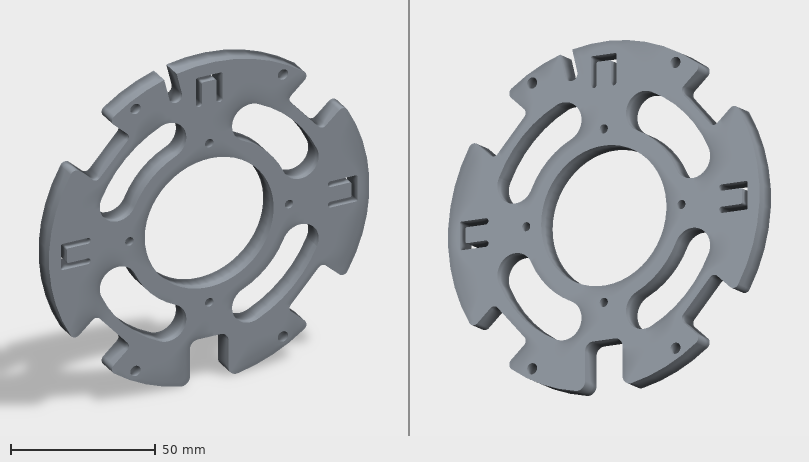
import cadquery as cq
import math

thickness = 8.0
outer_radius = 62.2
bore_radius = 25.0

inner_hole_diameter = 3.2
inner_hole_pitch_radius = 31.0
rim_hole_diameter = 4.0
rim_hole_side_offset = 28.6
rim_hole_height = 51.0

window_mid_radius = 38.8
window_width = 14.2
window_half_angle = 20.7

notch_angle = 42.0
notch_width = 20.0
notch_floor_radius = 49.9
notch_floor_fillet = 2.0
notch_mouth_fillet = 2.1

bottom_notch_width = 15.0
bottom_notch_floor_radius = 44.5
bottom_notch_fillet = 3.1

cable_slot_angle = 76.0
cable_slot_width = 5.0
cable_slot_end_radius = 53.8

tongue_cut_outer_radius = 57.5
tongue_cut_inner_radius = 46.1
tongue_cut_outer_width = 10.2
tongue_cut_gap = 2.2
tongue_corner_fillet = 0.6

rim_clearance = 12.5
pick_reach = 1.2

face_plane = cq.Plane(origin=(thickness / 2, 0, 0), xDir=(0, -1, 0), normal=(-1, 0, 0))


def sketch():
    return cq.Workplane(face_plane)


def turned(body, angle):
    """Turn a cutter about the disc axis, from sketch x towards sketch y."""
    return body.rotate((0, 0, 0), (-1, 0, 0), angle)


def polar(radius, angle):
    return (radius * math.cos(math.radians(angle)), radius * math.sin(math.radians(angle)))


def round_corners(body, corners, radius):
    """Round the through-thickness edges standing at the given sketch points."""
    for x, y in corners:
        low = (-thickness, -x - pick_reach, y - pick_reach)
        high = (thickness, -x + pick_reach, y + pick_reach)
        body = body.edges("|X").edges(cq.selectors.BoxSelector(low, high)).fillet(radius)
    return body


def notch_cutter(width, floor_radius):
    """A rectangular rim notch pointing along sketch x, with square corners."""
    depth = outer_radius + rim_clearance - floor_radius
    return sketch().center(floor_radius + depth / 2, 0).rect(depth, width).extrude(thickness)


def notch_corners(width, corner_radius, angle):
    """The two sketch points where the notch sides cross a circle of the given radius."""
    half_angle = math.degrees(math.asin(width / 2 / corner_radius))
    return [polar(corner_radius, angle + side * half_angle) for side in (-1, 1)]


def cut_notch(body, angle, width, floor_radius, floor_fillet, mouth_fillet):
    body = body.cut(turned(notch_cutter(width, floor_radius), angle))
    floor_corner_radius = math.hypot(floor_radius, width / 2)
    body = round_corners(body, notch_corners(width, floor_corner_radius, angle), floor_fillet)
    return round_corners(body, notch_corners(width, outer_radius, angle), mouth_fillet)


def window_cutter():
    """A curved slot with semicircular ends, concentric with the disc and centred on sketch x."""
    inner = window_mid_radius - window_width / 2
    outer = window_mid_radius + window_width / 2
    end_x, end_y = polar(window_mid_radius, window_half_angle)
    bulge_x, bulge_y = polar(window_width / 2, window_half_angle + 90)
    tip_x = end_x + bulge_x
    tip_y = end_y + bulge_y
    return (
        sketch()
        .moveTo(*polar(outer, -window_half_angle))
        .threePointArc((outer, 0), polar(outer, window_half_angle))
        .threePointArc((tip_x, tip_y), polar(inner, window_half_angle))
        .threePointArc((inner, 0), polar(inner, -window_half_angle))
        .threePointArc((tip_x, -tip_y), polar(outer, -window_half_angle))
        .close()
        .extrude(thickness)
    )


def tongue_cutter():
    """A U-shaped cut with its closed end towards the rim, pointing along sketch x."""
    arm_offset = (tongue_cut_outer_width - tongue_cut_gap) / 2
    arm_end = tongue_cut_inner_radius + tongue_cut_gap / 2
    arm_length = tongue_cut_outer_radius - arm_end
    tongue_length = tongue_cut_outer_radius - tongue_cut_inner_radius - tongue_cut_gap
    tongue_width = tongue_cut_outer_width - 2 * tongue_cut_gap
    block = (
        sketch()
        .center(tongue_cut_outer_radius - arm_length / 2, 0)
        .rect(arm_length, tongue_cut_outer_width)
        .extrude(thickness)
    )
    arm_ends = (
        sketch()
        .pushPoints([(arm_end, -arm_offset), (arm_end, arm_offset)])
        .circle(tongue_cut_gap / 2)
        .extrude(thickness)
    )
    tongue = (
        sketch()
        .center(tongue_cut_inner_radius + tongue_length / 2, 0)
        .rect(tongue_length, tongue_width)
        .extrude(thickness)
    )
    rim_side = "<Y"
    block = block.edges("|X").edges(rim_side).fillet(tongue_corner_fillet)
    tongue = tongue.edges("|X").edges(rim_side).fillet(tongue_corner_fillet)
    return block.union(arm_ends).cut(tongue)


def cable_slot_cutter():
    """A rim slot with a semicircular inner end, pointing along sketch x."""
    straight = notch_cutter(cable_slot_width, cable_slot_end_radius)
    end = sketch().center(cable_slot_end_radius, 0).circle(cable_slot_width / 2).extrude(thickness)
    return straight.union(end)


disc = sketch().circle(outer_radius).circle(bore_radius).extrude(thickness)

for angle in (notch_angle, 180 - notch_angle, 180 + notch_angle, -notch_angle):
    disc = cut_notch(disc, angle, notch_width, notch_floor_radius, notch_floor_fillet, notch_mouth_fillet)
disc = cut_notch(
    disc, -90, bottom_notch_width, bottom_notch_floor_radius, bottom_notch_fillet, bottom_notch_fillet
)

for angle in (45, 135, 225, 315):
    disc = disc.cut(turned(window_cutter(), angle))

for angle in (0, 90, 180):
    disc = disc.cut(turned(tongue_cutter(), angle))

disc = disc.cut(turned(cable_slot_cutter(), cable_slot_angle))

inner_holes = (
    sketch()
    .polarArray(inner_hole_pitch_radius, 0, 360, 4)
    .circle(inner_hole_diameter / 2)
    .extrude(thickness)
)
rim_holes = (
    sketch()
    .rect(2 * rim_hole_side_offset, 2 * rim_hole_height, forConstruction=True)
    .vertices()
    .circle(rim_hole_diameter / 2)
    .extrude(thickness)
)
result = disc.cut(inner_holes).cut(rim_holes)